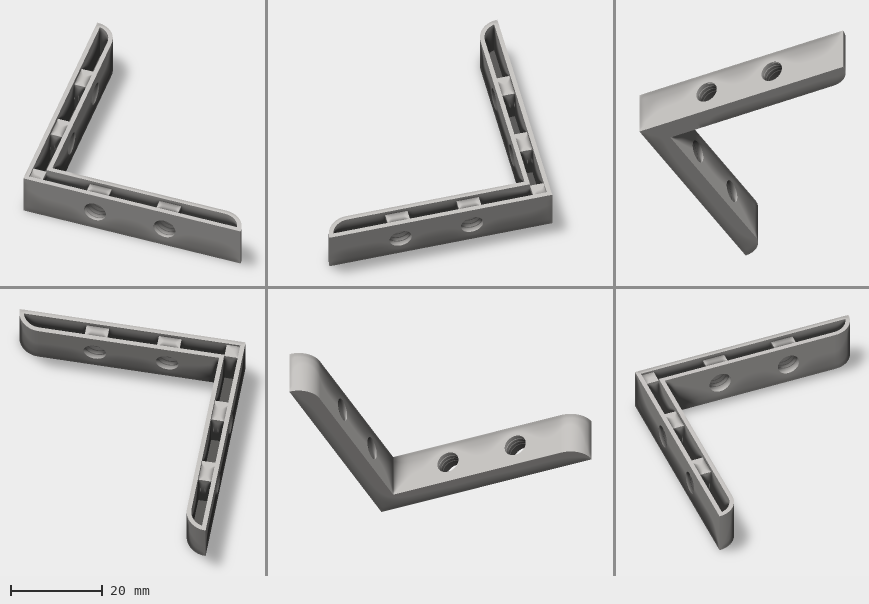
import cadquery as cq
import math

LEG_LENGTH = 50.0
LEG_WIDTH = 5.0
HEIGHT = 10.0
WALL = 1.0
FLOOR = 1.0
CAVITY_WIDTH = LEG_WIDTH - 2 * WALL

BOSS_LENGTH = 5.0
BOSS_TOP = HEIGHT - 1.0
POST_TOP = HEIGHT - 0.5

HOLE_RADIUS = 2.5
HOLE_HEIGHT = HEIGHT / 2
HOLES_ALONG_X = (16.5, 32.5)
HOLES_ALONG_Y = (18.0, 34.0)

THREAD_PITCH = 1.0
THREAD_START_X_LEG = 0.35
THREAD_START_Y_LEG = 1.0
THREAD_END = LEG_WIDTH - WALL
THREAD_START_ANGLE = 270.0
GROOVE_RADIUS = 2.65
GROOVE_MOUTH = 0.35
GROOVE_ROOT = 0.05
GROOVE_OVERLAP = 0.1


def leg(inset, bottom):
    """Leg along X, shrunk by inset, with its tip rounded about the outer face."""
    arc_radius = LEG_WIDTH - inset
    arc_start = LEG_LENGTH - LEG_WIDTH
    tip = arc_start + math.sqrt(arc_radius**2 - inset**2)
    return (
        cq.Workplane("XY", origin=(0, 0, bottom))
        .moveTo(inset, inset)
        .lineTo(tip, inset)
        .radiusArc((arc_start, arc_radius), -arc_radius)
        .lineTo(inset, arc_radius)
        .close()
        .extrude(HEIGHT - bottom)
    )


def both_legs(leg_along_x):
    """Join a leg along X with its reflection across the X = Y plane."""
    leg_along_y = leg_along_x.mirror("XZ").rotate((0, 0, 0), (0, 0, 1), 90)
    return leg_along_x.union(leg_along_y)


def block(x_center, y_center, x_size, y_size, top):
    """Rectangular block standing on the cavity floor."""
    return (
        cq.Workplane("XY", origin=(x_center, y_center, FLOOR))
        .rect(x_size, y_size)
        .extrude(top - FLOOR)
    )


def thread_groove(start):
    """Helical groove about Z, rising from start to the far side of the boss."""
    inner_radius = HOLE_RADIUS - GROOVE_OVERLAP
    helix = cq.Wire.makeHelix(THREAD_PITCH, THREAD_END - start, inner_radius)
    profile = [
        (inner_radius, -GROOVE_MOUTH / 2),
        (GROOVE_RADIUS, -GROOVE_ROOT / 2),
        (GROOVE_RADIUS, GROOVE_ROOT / 2),
        (inner_radius, GROOVE_MOUTH / 2),
    ]
    return (
        cq.Workplane("XZ")
        .polyline(profile)
        .close()
        .sweep(cq.Workplane(obj=helix), isFrenet=True)
        .rotate((0, 0, 0), (0, 0, 1), THREAD_START_ANGLE)
        .translate((0, 0, start))
    )


def into_x_leg(tool, x):
    """Turn a tool from Z to +Y and set it at a hole of the leg along X."""
    return tool.rotate((0, 0, 0), (1, 0, 0), -90).translate((x, 0, HOLE_HEIGHT))


def into_y_leg(tool, y):
    """Turn a tool from Z to +X and set it at a hole of the leg along Y."""
    return tool.rotate((0, 0, 0), (0, 1, 0), 90).translate((0, y, HOLE_HEIGHT))


def make_bracket():
    body = both_legs(leg(0, 0)).cut(both_legs(leg(WALL, FLOOR)))

    middle = LEG_WIDTH / 2
    body = body.union(block(middle, middle, CAVITY_WIDTH, CAVITY_WIDTH, POST_TOP))
    for x in HOLES_ALONG_X:
        body = body.union(block(x, middle, BOSS_LENGTH, CAVITY_WIDTH, BOSS_TOP))
    for y in HOLES_ALONG_Y:
        body = body.union(block(middle, y, CAVITY_WIDTH, BOSS_LENGTH, BOSS_TOP))

    bore = cq.Workplane("XY").circle(HOLE_RADIUS).extrude(LEG_WIDTH)
    x_groove = thread_groove(THREAD_START_X_LEG)
    y_groove = thread_groove(THREAD_START_Y_LEG)
    for x in HOLES_ALONG_X:
        body = body.cut(into_x_leg(x_groove, x)).cut(into_x_leg(bore, x))
    for y in HOLES_ALONG_Y:
        body = body.cut(into_y_leg(y_groove, y)).cut(into_y_leg(bore, y))
    return body


bracket = make_bracket()

result = cq.Compound.makeCompound([bracket.val()])